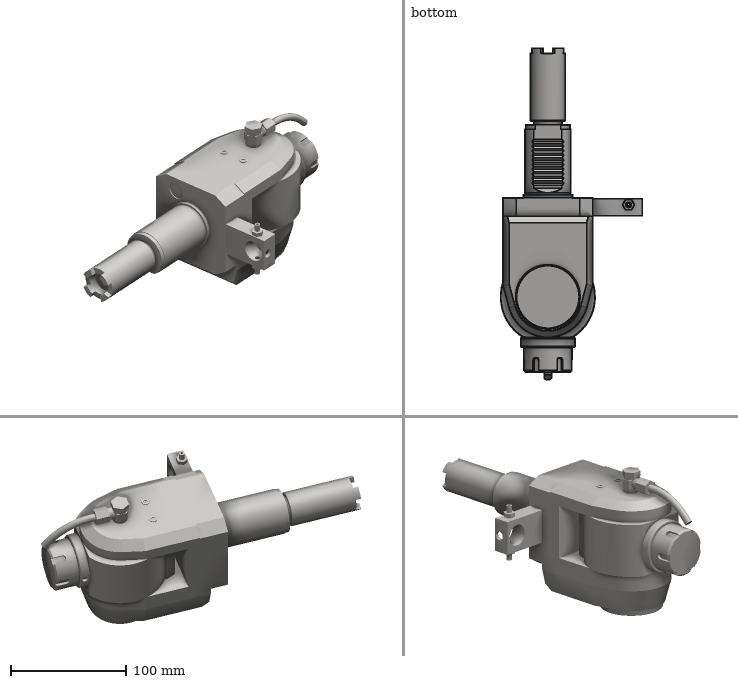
import math
import cadquery as cq


BODY_HALF_WIDTH = 39.0
BODY_TOP = 40.5
SWIVEL_Y = 86.0
NOSE_RADIUS = 35.0
NOSE_SIDE_ANGLE = 15.0
BODY_BACK = SWIVEL_Y + NOSE_RADIUS
TOP_CHAMFER_HEIGHT = 6.0
TOP_CHAMFER_INSET = 9.7
SKIRT_TOP = -39.5
SKIRT_BOTTOM = -59.7
SKIRT_DRAFT = 15.0
SKIRT_CHAMFER = 6.0
PLATE_DEPTH = 15.8
PLATE_SHOULDER_DEPTH = 25.6
PLATE_CHAMFER_X = 11.5
PLATE_CHAMFER_Z = 7.0
PLUG_X, PLUG_Z = -16.0, 27.8
PLUG_RADIUS = 7.7
PLUG_RECESS = 1.0
OVERSIZE = 200.0

DRUM_RADIUS = 41.0
DRUM_HALF_HEIGHT = 24.0
WINDOW_FRONT = 36.4
TONGUE_TIP_Y = 37.9
TONGUE_CORNER_Y = 42.9
TONGUE_ROOT_Y = 50.6
TONGUE_TIP_HALF_WIDTH = 21.1
TONGUE_ROOT_HALF_WIDTH = 24.2
BASE_RADIUS = 28.0
BASE_BOTTOM = -65.0
BASE_STEP_Z = -62.2
BASE_STEP_INSET = 0.4
BASE_CHAMFER = 0.5

COLLAR_RADIUS = 23.7
COLLAR_START, COLLAR_END = 121.3, 129.6
COLLAR_CHAMFER = 0.8
COLLAR_HOLE_RADIUS = 2.6
COLLAR_HOLE_DEPTH = 3.0
NUT_RADIUS = 21.1
NUT_NECK_RADIUS = 20.0
NUT_START, NUT_END = 130.3, 151.3
NUT_CHAMFER = 1.6
NUT_SLOT_COUNT = 6
NUT_SLOT_WIDTH = 5.8
NUT_SLOT_DEPTH = 2.5
NUT_SLOT_END = 138.7

FLANGE_RADIUS = 21.4
FLANGE_END = -2.9
RELIEF_RADIUS = 19.6
RELIEF_END = -4.3
SHANK_RADIUS = 20.0
SHANK_STEP_Y = -59.7
SHANK_STEP_RADIUS = 19.4
SHANK_END = -63.3
NECK_RADIUS = 12.3
NECK_END = -66.7
SHAFT_RADIUS = 15.15
SHAFT_CHAMFER = 0.6
SHAFT_END = -130.0
BORE_RADIUS = 10.0
BORE_DEPTH = 12.0
CLAW_SLOT_COUNT = 4
CLAW_SLOT_DEPTH = 4.6
CLAW_SLOT_HALF_ANGLE = 24.0
FLAT_Z = -15.9
FLAT_START = -8.5
TOOTH_PITCH = 4.0
TOOTH_DEPTH = 1.3
TOOTH_COUNT = 10
TOOTH_START = -10.8

ARM_END_X = 81.99
ARM_HALF_HEIGHT = 15.1
ARM_FRONT, ARM_BACK = 0.7, 15.7
ARM_BORE_X = 70.0
ARM_BORE_RADIUS = 9.5
NOZZLE_Y = 6.0
NOZZLE_HEX_CORNERS = 10.2
NOZZLE_HEX_END = 18.8
NOZZLE_PIN_RADIUS = 2.4
NOZZLE_END = 25.1
NOZZLE_BORE_RADIUS = 1.2
ARM_CHANNEL_RADIUS = 2.3
ARM_END_HOLE_RADIUS = 4.0

FITTING_TOP = 59.9
FITTING_CAP_BOTTOM = 55.0
FITTING_RADIUS = 6.95
FITTING_FOOT_TOP = 42.3
FITTING_FOOT_RADIUS = 6.7
HEX_CORNERS = 16.2
FITTING_HEX_BOTTOM, FITTING_HEX_TOP = 44.8, 52.6
OUTLET_Z = 49.1
OUTLET_RADIUS = 5.1
OUTLET_NUT_START, OUTLET_NUT_END = 97.1, 109.0
OUTLET_NUT_CORNERS = 14.0
HOSE_RADIUS = 3.3
HOSE_BEND_START = 112.7
HOSE_BEND_RADIUS = 54.0
HOSE_BEND_ANGLE = 45.0
HOSE_TIP_Y = 157.92
SCREW_X = 10.8
SCREW_Y = 59.0
SCREW_RADIUS = 3.3
SCREW_HEIGHT = 0.9
SCREW_SOCKET_CORNERS = 4.0


def box(x_range, y_range, z_range):
    """Axis-aligned block given by its limits."""
    sizes = [high - low for low, high in (x_range, y_range, z_range)]
    corner = (x_range[0], y_range[0], z_range[0])
    return cq.Workplane("XY").box(*sizes, centered=False).translate(corner)


def y_cylinder(radius, y_start, y_end, x=0.0, z=0.0):
    """Cylinder along Y between two stations."""
    plane = cq.Plane((x, y_start, z), (1, 0, 0), (0, 1, 0))
    return cq.Workplane(plane).circle(radius).extrude(y_end - y_start)


def z_cylinder(radius, z_start, z_end, x=0.0, y=0.0):
    """Cylinder along Z between two heights."""
    return cq.Workplane("XY", (x, y, z_start)).circle(radius).extrude(z_end - z_start)


def z_hexagon(corners, z_start, z_end, x=0.0, y=0.0, turn=0.0):
    """Hexagonal prism along Z; its corners point along X before the turn."""
    prism = cq.Workplane("XY").polygon(6, corners).extrude(z_end - z_start)
    return prism.rotate((0, 0, 0), (0, 0, 1), turn).translate((x, y, z_start))


def nose_outline(z):
    """Plan outline of the housing, run forward past the front face for later trimming."""
    angle = math.radians(NOSE_SIDE_ANGLE)
    tangent_x = NOSE_RADIUS * math.cos(angle)
    tangent_y = SWIVEL_Y + NOSE_RADIUS * math.sin(angle)
    shoulder_y = tangent_y - (BODY_HALF_WIDTH - tangent_x) / math.tan(angle)
    front_y = -BODY_HALF_WIDTH
    return (
        cq.Workplane("XY", (0, 0, z))
        .moveTo(-BODY_HALF_WIDTH, front_y)
        .lineTo(BODY_HALF_WIDTH, front_y)
        .lineTo(BODY_HALF_WIDTH, shoulder_y)
        .lineTo(tangent_x, tangent_y)
        .threePointArc((0, BODY_BACK), (-tangent_x, tangent_y))
        .lineTo(-BODY_HALF_WIDTH, shoulder_y)
        .close()
    )


def behind(y):
    """Large block used to keep only what lies behind a Y station."""
    return box((-OVERSIZE, OVERSIZE), (y, OVERSIZE), (-OVERSIZE, OVERSIZE))


def front_plate():
    """Chamfered front plate with a deeper upper shoulder."""
    half_x, half_z = BODY_HALF_WIDTH, BODY_TOP
    inner_x, inner_z = half_x - PLATE_CHAMFER_X, half_z - PLATE_CHAMFER_Z
    outline = [
        (-half_x, -inner_z), (-inner_x, -half_z), (inner_x, -half_z), (half_x, -inner_z),
        (half_x, inner_z), (inner_x, half_z), (-inner_x, half_z), (-half_x, inner_z),
    ]
    block = cq.Workplane("XZ").polyline(outline).close().extrude(-PLATE_SHOULDER_DEPTH)
    under_shoulder = box((-OVERSIZE, OVERSIZE), (PLATE_DEPTH, OVERSIZE), (-OVERSIZE, 0))
    plug_recess = y_cylinder(PLUG_RADIUS, 0, PLUG_RECESS, PLUG_X, PLUG_Z)
    return block.cut(under_shoulder).cut(plug_recess)


def housing():
    """Round-nosed housing with a chamfered top and a drafted skirt below."""
    chamfer_base = BODY_TOP - TOP_CHAMFER_HEIGHT
    wall = nose_outline(SKIRT_TOP).extrude(chamfer_base - SKIRT_TOP)
    wall = wall.intersect(behind(PLATE_DEPTH))
    shoulder_space = box((-OVERSIZE, OVERSIZE), (0, PLATE_SHOULDER_DEPTH), (0, OVERSIZE))
    wall = wall.cut(shoulder_space)
    top_angle = math.degrees(math.atan(TOP_CHAMFER_INSET / TOP_CHAMFER_HEIGHT))
    top = nose_outline(chamfer_base).extrude(TOP_CHAMFER_HEIGHT, taper=top_angle)
    top = top.intersect(behind(PLATE_SHOULDER_DEPTH))
    skirt_height = SKIRT_TOP - SKIRT_BOTTOM
    skirt = nose_outline(0).extrude(skirt_height, taper=SKIRT_DRAFT)
    skirt = skirt.mirror("XY").translate((0, 0, SKIRT_TOP)).intersect(behind(PLATE_DEPTH))
    skirt = skirt.faces("<Z").edges("<Y").chamfer(SKIRT_CHAMFER)
    return front_plate().union(wall).union(top).union(skirt)


def swivel_window():
    """Opening across the housing that holds the swivel drum."""
    half = DRUM_HALF_HEIGHT
    return box((-OVERSIZE, OVERSIZE), (WINDOW_FRONT, OVERSIZE), (-half, half))


def swivel_drum():
    """Drum flattened at the back, with a rounded tongue at the front."""
    height = 2 * DRUM_HALF_HEIGHT
    drum = z_cylinder(DRUM_RADIUS, -DRUM_HALF_HEIGHT, DRUM_HALF_HEIGHT, y=SWIVEL_Y)
    drum = drum.cut(behind(BODY_BACK))
    tongue = (
        cq.Workplane("XY", (0, 0, -DRUM_HALF_HEIGHT))
        .moveTo(-TONGUE_ROOT_HALF_WIDTH, SWIVEL_Y)
        .lineTo(-TONGUE_ROOT_HALF_WIDTH, TONGUE_ROOT_Y)
        .lineTo(-TONGUE_TIP_HALF_WIDTH, TONGUE_CORNER_Y)
        .threePointArc((0, TONGUE_TIP_Y), (TONGUE_TIP_HALF_WIDTH, TONGUE_CORNER_Y))
        .lineTo(TONGUE_ROOT_HALF_WIDTH, TONGUE_ROOT_Y)
        .lineTo(TONGUE_ROOT_HALF_WIDTH, SWIVEL_Y)
        .close()
        .extrude(height)
    )
    return drum.union(tongue)


def base_disc():
    """Stepped disc under the housing."""
    upper = z_cylinder(BASE_RADIUS, BASE_STEP_Z, SKIRT_BOTTOM, y=SWIVEL_Y)
    lower = z_cylinder(BASE_RADIUS - BASE_STEP_INSET, BASE_BOTTOM, BASE_STEP_Z, y=SWIVEL_Y)
    return upper.union(lower.faces("<Z").chamfer(BASE_CHAMFER))


def spindle_nose():
    """Collar and slotted clamping nut at the back of the drum."""
    collar = y_cylinder(COLLAR_RADIUS, COLLAR_START, COLLAR_END).edges().chamfer(COLLAR_CHAMFER)
    root = y_cylinder(NUT_NECK_RADIUS, SWIVEL_Y, NUT_START)
    nut = y_cylinder(NUT_RADIUS, NUT_START, NUT_END).faces(">Y").chamfer(NUT_CHAMFER)

    hole_floor_x = -COLLAR_RADIUS + COLLAR_HOLE_DEPTH
    hole_y = (COLLAR_START + COLLAR_END) / 2
    hole = cq.Workplane("YZ", (hole_floor_x, hole_y, 0)).circle(COLLAR_HOLE_RADIUS)
    collar = collar.cut(hole.extrude(-2 * COLLAR_HOLE_DEPTH))

    half_width = NUT_SLOT_WIDTH / 2
    round_end_y = NUT_SLOT_END + half_width
    floor_x = NUT_RADIUS - NUT_SLOT_DEPTH
    slot = box((floor_x, OVERSIZE), (round_end_y, OVERSIZE), (-half_width, half_width))
    slot_end = cq.Workplane("YZ", (floor_x, round_end_y, 0)).circle(half_width).extrude(OVERSIZE)
    slot = slot.union(slot_end)
    for index in range(NUT_SLOT_COUNT):
        nut = nut.cut(slot.rotate((0, 0, 0), (0, 1, 0), index * 360 / NUT_SLOT_COUNT))
    return root.union(collar).union(nut)


def shank_flat():
    """Cutter for the toothed clamping flat under the shank."""
    drop = SHANK_RADIUS + FLAT_Z
    outline = [
        (FLAT_START + drop, FLAT_Z - drop),
        (FLAT_START, FLAT_Z),
        (SHANK_END, FLAT_Z),
        (SHANK_END, FLAT_Z - drop),
    ]
    cutter = cq.Workplane("YZ", (-SHANK_RADIUS, 0, 0)).polyline(outline).close()
    cutter = cutter.extrude(2 * SHANK_RADIUS)
    for index in range(TOOTH_COUNT):
        start = TOOTH_START - index * TOOTH_PITCH
        tooth = [
            (start, FLAT_Z),
            (start - TOOTH_PITCH / 2, FLAT_Z + TOOTH_DEPTH),
            (start - TOOTH_PITCH, FLAT_Z),
        ]
        notch = cq.Workplane("YZ", (-SHANK_RADIUS, 0, 0)).polyline(tooth).close()
        cutter = cutter.union(notch.extrude(2 * SHANK_RADIUS))
    return cutter


def shank():
    """Clamping shank with its seating flange."""
    flange = y_cylinder(FLANGE_RADIUS, 0, FLANGE_END)
    relief = y_cylinder(RELIEF_RADIUS, FLANGE_END, RELIEF_END)
    main = y_cylinder(SHANK_RADIUS, RELIEF_END, SHANK_STEP_Y)
    end = y_cylinder(SHANK_STEP_RADIUS, SHANK_STEP_Y, SHANK_END)
    return flange.union(relief).union(main).union(end).cut(shank_flat())


def claw_slot():
    """Wedge-shaped drive slot that widens outwards along +X."""
    reach = 2 * SHAFT_RADIUS
    half_width = reach * math.tan(math.radians(CLAW_SLOT_HALF_ANGLE))
    wedge = [(0, 0), (reach, half_width), (reach, -half_width)]
    return cq.Workplane("XZ", (0, SHAFT_END, 0)).polyline(wedge).close().extrude(-CLAW_SLOT_DEPTH)


def drive_shaft():
    """Drive shaft with a bored, four-clawed end."""
    neck = y_cylinder(NECK_RADIUS, SHANK_END, NECK_END)
    main = y_cylinder(SHAFT_RADIUS, NECK_END, SHAFT_END).faces(">Y").chamfer(SHAFT_CHAMFER)
    shaft = neck.union(main).cut(y_cylinder(BORE_RADIUS, SHAFT_END, SHAFT_END + BORE_DEPTH))
    for index in range(CLAW_SLOT_COUNT):
        turn = index * 360 / CLAW_SLOT_COUNT
        shaft = shaft.cut(claw_slot().rotate((0, 0, 0), (0, 1, 0), turn))
    return shaft


def nozzle():
    """Upper spray nozzle of the coolant arm."""
    place = {"x": ARM_BORE_X, "y": NOZZLE_Y}
    hexagon = z_hexagon(NOZZLE_HEX_CORNERS, ARM_HALF_HEIGHT, NOZZLE_HEX_END, **place)
    pin = z_cylinder(NOZZLE_PIN_RADIUS, NOZZLE_HEX_END, NOZZLE_END, **place)
    return hexagon.union(pin)


def coolant_arm():
    """Side arm with a cross bore, an end hole and a spray nozzle above and below."""
    half = ARM_HALF_HEIGHT
    arm = box((BODY_HALF_WIDTH, ARM_END_X), (ARM_FRONT, ARM_BACK), (-half, half))
    arm = arm.union(nozzle()).union(nozzle().mirror("XY"))
    cross_bore = y_cylinder(ARM_BORE_RADIUS, ARM_FRONT, ARM_BACK, ARM_BORE_X)
    nozzle_bore = z_cylinder(NOZZLE_BORE_RADIUS, -NOZZLE_END, NOZZLE_END, ARM_BORE_X, NOZZLE_Y)
    channel = z_cylinder(ARM_CHANNEL_RADIUS, -half, half, ARM_BORE_X, NOZZLE_Y)
    end_hole = cq.Workplane("YZ", (ARM_BORE_X, NOZZLE_Y, 0)).circle(ARM_END_HOLE_RADIUS)
    end_hole = end_hole.extrude(ARM_END_X - ARM_BORE_X)
    return arm.cut(cross_bore).cut(nozzle_bore).cut(channel).cut(end_hole)


def hose():
    """Hose that bends down over the spindle nose and ends in a straight piece."""
    angle = math.radians(HOSE_BEND_ANGLE)

    def bend_point(part_angle):
        y = HOSE_BEND_START + HOSE_BEND_RADIUS * math.sin(part_angle)
        z = OUTLET_Z - HOSE_BEND_RADIUS * (1 - math.cos(part_angle))
        return y, z

    bend_end_y, bend_end_z = bend_point(angle)
    tip_y = HOSE_TIP_Y - HOSE_RADIUS * math.sin(angle)
    tip_z = bend_end_z - (tip_y - bend_end_y) * math.tan(angle)
    path = (
        cq.Workplane("YZ")
        .moveTo(OUTLET_NUT_END, OUTLET_Z)
        .lineTo(HOSE_BEND_START, OUTLET_Z)
        .threePointArc(bend_point(angle / 2), (bend_end_y, bend_end_z))
        .lineTo(tip_y, tip_z)
    )
    start = cq.Plane((0, OUTLET_NUT_END, OUTLET_Z), (1, 0, 0), (0, 1, 0))
    return cq.Workplane(start).circle(HOSE_RADIUS).sweep(path)


def coolant_fitting():
    """Elbow fitting on the housing top with its union nut and hose."""
    foot = z_cylinder(FITTING_FOOT_RADIUS, BODY_TOP, FITTING_FOOT_TOP, y=SWIVEL_Y)
    stem = z_cylinder(FITTING_RADIUS, FITTING_FOOT_TOP, FITTING_CAP_BOTTOM, y=SWIVEL_Y)
    cap = z_hexagon(HEX_CORNERS, FITTING_CAP_BOTTOM, FITTING_TOP, y=SWIVEL_Y)
    elbow = z_hexagon(HEX_CORNERS, FITTING_HEX_BOTTOM, FITTING_HEX_TOP, y=SWIVEL_Y, turn=90)
    outlet = y_cylinder(OUTLET_RADIUS, SWIVEL_Y, OUTLET_NUT_START, z=OUTLET_Z)
    nut_plane = cq.Plane((0, OUTLET_NUT_START, OUTLET_Z), (0, 0, 1), (0, 1, 0))
    nut = cq.Workplane(nut_plane).polygon(6, OUTLET_NUT_CORNERS)
    nut = nut.extrude(OUTLET_NUT_END - OUTLET_NUT_START)
    return foot.union(stem).union(cap).union(elbow).union(outlet).union(nut).union(hose())


def cover_screw(x):
    """Low screw head with a hexagonal socket on the housing top."""
    top = BODY_TOP + SCREW_HEIGHT
    head = z_cylinder(SCREW_RADIUS, BODY_TOP, top, x, SCREW_Y)
    return head.cut(z_hexagon(SCREW_SOCKET_CORNERS, BODY_TOP, top, x, SCREW_Y))


result = housing().cut(swivel_window()).union(swivel_drum())
components = [
    base_disc(),
    spindle_nose(),
    shank(),
    drive_shaft(),
    coolant_arm(),
    coolant_fitting(),
    cover_screw(-SCREW_X),
    cover_screw(SCREW_X),
]
for component in components:
    result = result.union(component)